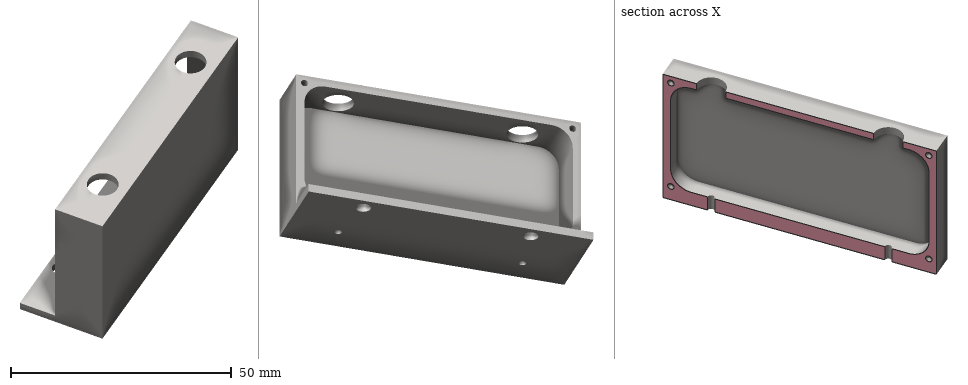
import cadquery as cq
import math

length = 68.0
width = 21.0
height = 36.0

flange_width = 9.0
flange_thickness = 2.0
flange_hole_diameter = 3.5
flange_hole_inset = 3.0
flange_hole_spacing = 40.0

wall = 2.0
box_depth = width - flange_width
cavity_depth = box_depth - wall
cavity_floor = flange_thickness + wall
cavity_length = length - 2 * wall
cavity_height = height - wall - cavity_floor
cavity_radius = 5.0

port_diameter = 7.2
floor_hole_diameter = 1.6
port_spacing = 44.0
port_x = flange_width + box_depth / 2

screw_diameter = 1.6
screw_depth = 6.0
drill_point_angle = 118
drill_tip_length = screw_diameter / 2 / math.tan(math.radians(drill_point_angle / 2))


def vertical_pair(x, spacing, diameter, bottom, top):
    """Two upright cylinders placed symmetrically about Y = 0."""
    return (
        cq.Workplane("XY", origin=(0, 0, bottom))
        .pushPoints([(x, -spacing / 2), (x, spacing / 2)])
        .circle(diameter / 2)
        .extrude(top - bottom)
    )


body = (
    cq.Workplane("XZ")
    .moveTo(0, 0)
    .lineTo(width, 0)
    .lineTo(width, height)
    .lineTo(flange_width, height)
    .lineTo(flange_width, flange_thickness)
    .lineTo(0, flange_thickness)
    .close()
    .extrude(length / 2, both=True)
)

cavity_centre_z = cavity_floor + cavity_height / 2
box_front = cq.Workplane("YZ", origin=(flange_width, 0, cavity_centre_z))
cavity = (
    box_front.rect(cavity_length, cavity_height)
    .extrude(cavity_depth)
    .edges("|X")
    .fillet(cavity_radius)
)
drill_shape = (
    cq.Workplane("XZ")
    .lineTo(screw_diameter / 2, 0)
    .lineTo(screw_diameter / 2, screw_depth)
    .lineTo(0, screw_depth + drill_tip_length)
    .close()
    .revolve(360, (0, 0), (0, 1))
    .val()
)
screw_holes = (
    box_front.rect(cavity_length, cavity_height, forConstruction=True)
    .vertices()
    .eachpoint(drill_shape, useLocalCoordinates=True)
)

flange_holes = vertical_pair(
    flange_hole_inset, flange_hole_spacing, flange_hole_diameter, 0, flange_thickness
)
top_ports = vertical_pair(port_x, port_spacing, port_diameter, cavity_centre_z, height)
floor_holes = vertical_pair(port_x, port_spacing, floor_hole_diameter, 0, cavity_centre_z)

result = (
    body.cut(cavity)
    .cut(screw_holes)
    .cut(flange_holes)
    .cut(top_ports)
    .cut(floor_holes)
)